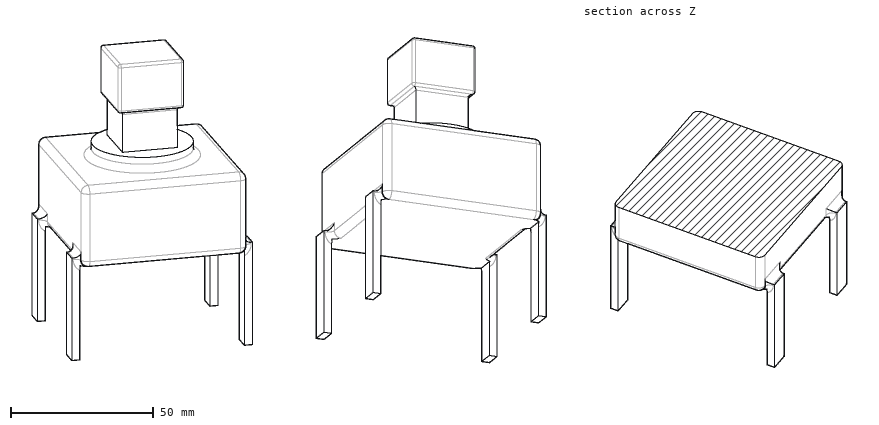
import cadquery as cq
import math

housing_side = 60.0
housing_height = 30.0
housing_round = 2.5

collar_diameter = 36.0
collar_height = 5.0
collar_fillet = 2.5

stem_side = 20.0
stem_height = 15.0
cap_side = 24.0
cap_height = 18.0
cap_round = 1.0
neck_fillet = 1.0

pin_width = 7.0
pin_thickness = 3.0
pin_drop = 35.0
pin_spacing = 45.0
flare_radius = 2.5

housing_face = housing_side / 2
housing_flat = housing_face - housing_round
collar_top = housing_height + collar_height
stem_top = collar_top + stem_height
pin_outer = housing_face + pin_thickness
flare_outer = housing_face + flare_radius
flare_top = pin_thickness + flare_radius
flare_half_width = pin_width / 2 + flare_radius
flare_arc_inset = flare_radius * math.sqrt(0.5)


def upright_block(side, height, base):
    """Square block centred on the Z axis, standing on z = base."""
    block = cq.Workplane("XY").box(side, side, height, centered=(True, True, False))
    return block.translate((0, 0, base))


def make_housing():
    block = upright_block(housing_side, housing_height, 0)
    return block.edges().fillet(housing_round)


def make_collar():
    """Short cylinder with a concave fillet running out onto the housing top."""
    radius = collar_diameter / 2
    foot = radius + collar_fillet
    arc_inset = collar_fillet * math.sqrt(0.5)
    profile = (
        cq.Workplane("XZ")
        .moveTo(0, housing_height - housing_round)
        .lineTo(foot, housing_height - housing_round)
        .lineTo(foot, housing_height)
        .threePointArc(
            (foot - arc_inset, housing_height + collar_fillet - arc_inset),
            (radius, housing_height + collar_fillet),
        )
        .lineTo(radius, collar_top)
        .lineTo(0, collar_top)
        .close()
    )
    return profile.revolve(360, (0, 0, 0), (0, 1, 0))


def make_stem_profile(plane):
    """Stem silhouette extruded across the given plane, flared under the cap."""
    half = stem_side / 2
    neck_half = half + neck_fillet
    neck_base = stem_top - neck_fillet
    arc_inset = neck_fillet * math.sqrt(0.5)
    return (
        cq.Workplane(plane)
        .moveTo(-half, collar_top)
        .lineTo(half, collar_top)
        .lineTo(half, neck_base)
        .threePointArc((neck_half - arc_inset, neck_base + arc_inset), (neck_half, stem_top))
        .lineTo(-neck_half, stem_top)
        .threePointArc((arc_inset - neck_half, neck_base + arc_inset), (-half, neck_base))
        .close()
        .extrude(neck_half, both=True)
    )


def make_plunger():
    """Square stem with a filleted neck, carrying a wider cap with rounded edges."""
    stem = make_stem_profile("XZ").intersect(make_stem_profile("YZ"))
    cap = upright_block(cap_side, cap_height, stem_top).edges().fillet(cap_round)
    return stem.union(cap)


def make_pin_blade():
    """L-shaped pin: a root inside the housing and a leg down its +Y face."""
    return (
        cq.Workplane("YZ")
        .moveTo(housing_flat, 0)
        .lineTo(housing_face, 0)
        .lineTo(housing_face, -pin_drop)
        .lineTo(pin_outer, -pin_drop)
        .lineTo(pin_outer, pin_thickness)
        .lineTo(housing_flat, pin_thickness)
        .close()
        .extrude(pin_width / 2, both=True)
    )


def flare_plan():
    """Plan outline at the top of the bottom rounding, widening towards the face."""
    half = pin_width / 2
    arc_x = flare_half_width - flare_arc_inset
    arc_y = flare_outer - flare_arc_inset
    return (
        cq.Workplane("XY", origin=(0, 0, housing_round))
        .moveTo(-flare_half_width, housing_flat)
        .lineTo(-flare_half_width, housing_face)
        .threePointArc((-arc_x, arc_y), (-half, flare_outer))
        .lineTo(half, flare_outer)
        .threePointArc((arc_x, arc_y), (flare_half_width, housing_face))
        .lineTo(flare_half_width, housing_flat)
        .close()
    )


def make_pin_flare():
    """Concave fillets joining the top and both sides of a pin to the housing."""
    upper = flare_plan().extrude(flare_top - housing_round)
    lower = flare_plan().revolve(90, (1, housing_flat, 0), (0, housing_flat, 0))
    side_shape = upper.union(lower)
    top_shape = (
        cq.Workplane("YZ")
        .moveTo(housing_flat, 0)
        .lineTo(housing_face, 0)
        .lineTo(housing_face, -pin_drop)
        .lineTo(flare_outer, -pin_drop)
        .lineTo(flare_outer, pin_thickness)
        .threePointArc(
            (flare_outer - flare_arc_inset, flare_top - flare_arc_inset),
            (housing_face, flare_top),
        )
        .lineTo(housing_flat, flare_top)
        .close()
        .extrude(flare_half_width, both=True)
    )
    return side_shape.intersect(top_shape)


def make_pins():
    """All four pins, with the flares kept on the flat part of each face."""
    pin = make_pin_blade().union(make_pin_flare())
    right_pin = pin.translate((pin_spacing / 2, 0, 0))
    flat_zone = cq.Workplane("XY").box(2 * housing_flat, 2 * pin_outer, 2 * pin_drop)
    right_pin = right_pin.intersect(flat_zone)
    back_pins = right_pin.union(right_pin.mirror("YZ"))
    return back_pins.union(back_pins.mirror("XZ"))


result = make_housing().union(make_collar()).union(make_plunger()).union(make_pins())